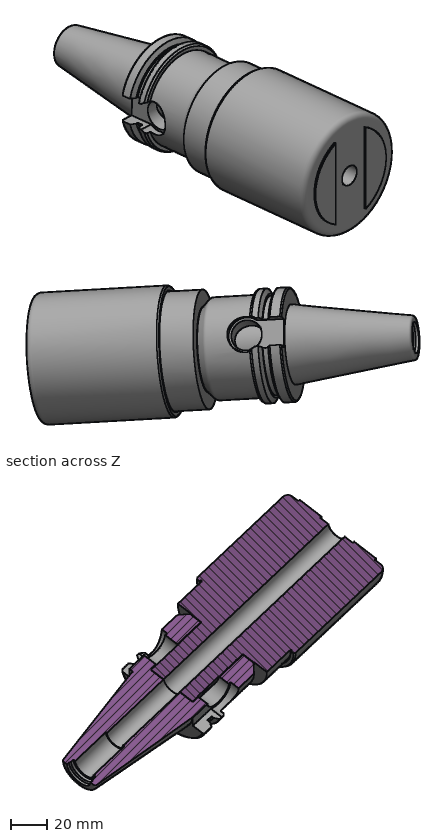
import cadquery as cq
import math


TAPER_RATE = 7 / 24
TAPER_LARGE_DIAMETER = 44.5
TAPER_LENGTH = 68.0
TAPER_END_FILLET = 1.5

FLANGE_RADIUS = 32.0
FLANGE_START = 69.1
FLANGE_END = 87.3
FLANGE_FRONT_CHAMFER = 0.9
FLANGE_BACK_CHAMFER = 1.3
FLANGE_BACK_CHAMFER_DEPTH = 0.9
GROOVE_CENTER = 79.0
GROOVE_FLOOR_WIDTH = 3.2
GROOVE_FLOOR_RADIUS = 27.6
V_DEPTH = 3.0
V_FLANK_ANGLE = 30

BODY_RADIUS = 28.7
BODY_FILLET = 2.8
BODY_FILLET_START = 112.2
CONE_ANGLE = 45
NOSE_RADIUS = 23.8
HOLDER_END = 118.5

SLOT_WIDTH = 16.3
SLOT_FLOOR_FRONT = 22.7
SLOT_FLOOR_BACK = 24.8
OPENING_X = 90.1
OPENING_DIAMETER = 20.3
KEY_HOLE_DIAMETER = 17.3
CUT_CLEARANCE = 2.1

BORE_DIAMETER = 12.0
THREAD_DIAMETER = 13.5
THREAD_END = 30.0
RECESS_DIAMETER = 16.3
RECESS_DEPTH = 4.7
ENTRY_DIAMETER = 17.3
ENTRY_DEPTH = 1.7
ENTRY_CONE_END = 2.8
SPINDLE_DIAMETER = 30.8
SPINDLE_START = 77.0

COLLAR_RADIUS = 66.5 / 2
SLEEVE_RADIUS = 73.5 / 2
SLEEVE_START = 137.5
SLEEVE_CHAMFER_LENGTH = 1.0
SLEEVE_CHAMFER_DEPTH = 0.6
SLEEVE_MOUTH_DIAMETER = 67.6
SLEEVE_MOUTH_DEPTH = 1.0
SLEEVE_END = 213.0
SLEEVE_FILLET = 3.6
DRIVE_RING_DIAMETER = 57.2
DRIVE_SLOT_WIDTH = 24.2
OVERALL_LENGTH = 214.0


def turned(profile):
    """Revolve a closed profile, drawn as (x, radius), about the X axis."""
    return profile.close().revolve(360, (0, 0, 0), (1, 0, 0))


def rod(start, end, diameter):
    """Solid cylinder on the X axis."""
    return cq.Workplane("YZ", origin=(start, 0, 0)).circle(diameter / 2).extrude(end - start)


def arc_point(center, radius, angle):
    """Point on a circle at an angle in degrees from the +X direction."""
    turn = math.radians(angle)
    return (center[0] + radius * math.cos(turn), center[1] + radius * math.sin(turn))


def holder_blank():
    """Outer shape of the shank, flange and body."""
    taper_radius = TAPER_LARGE_DIAMETER / 2
    end_radius = taper_radius - TAPER_LENGTH * TAPER_RATE / 2
    v_radius = FLANGE_RADIUS - V_DEPTH
    v_run = V_DEPTH * math.tan(math.radians(V_FLANK_ANGLE))
    groove_start = GROOVE_CENTER - GROOVE_FLOOR_WIDTH / 2
    groove_end = GROOVE_CENTER + GROOVE_FLOOR_WIDTH / 2
    fillet_center = (BODY_FILLET_START, BODY_RADIUS - BODY_FILLET)
    fillet_end = arc_point(fillet_center, BODY_FILLET, 90 - CONE_ANGLE)
    cone_length = (fillet_end[1] - NOSE_RADIUS) / math.tan(math.radians(CONE_ANGLE))

    profile = (
        cq.Workplane("XY")
        .moveTo(0, 0)
        .lineTo(0, end_radius)
        .lineTo(TAPER_LENGTH, taper_radius)
        .lineTo(FLANGE_START, taper_radius)
        .lineTo(FLANGE_START, FLANGE_RADIUS - FLANGE_FRONT_CHAMFER)
        .lineTo(FLANGE_START + FLANGE_FRONT_CHAMFER, FLANGE_RADIUS)
        .lineTo(groove_start - v_run, FLANGE_RADIUS)
        .lineTo(groove_start, v_radius)
        .lineTo(groove_start, GROOVE_FLOOR_RADIUS)
        .lineTo(groove_end, GROOVE_FLOOR_RADIUS)
        .lineTo(groove_end, v_radius)
        .lineTo(groove_end + v_run, FLANGE_RADIUS)
        .lineTo(FLANGE_END - FLANGE_BACK_CHAMFER, FLANGE_RADIUS)
        .lineTo(FLANGE_END, FLANGE_RADIUS - FLANGE_BACK_CHAMFER_DEPTH)
        .lineTo(FLANGE_END, BODY_RADIUS)
        .lineTo(BODY_FILLET_START, BODY_RADIUS)
        .threePointArc(arc_point(fillet_center, BODY_FILLET, 90 - CONE_ANGLE / 2), fillet_end)
        .lineTo(fillet_end[0] + cone_length, NOSE_RADIUS)
        .lineTo(HOLDER_END, NOSE_RADIUS)
        .lineTo(HOLDER_END, 0)
    )
    return turned(profile).faces("<X").edges().fillet(TAPER_END_FILLET)


def drive_slot_cut(side, floor):
    """Drive slot with its round opening and key hole; side is -1 or +1 along Y."""
    outside = side * (FLANGE_RADIUS + CUT_CLEARANCE)
    depth = abs(outside) - floor
    slot_length = OPENING_X - FLANGE_START
    slot = cq.Workplane("XY").box(slot_length, depth, SLOT_WIDTH).translate(
        (FLANGE_START + slot_length / 2, side * (floor + depth / 2), 0)
    )
    wall = cq.Workplane("XZ", origin=(OPENING_X, outside, 0))
    opening = wall.circle(OPENING_DIAMETER / 2).extrude(side * depth)
    key_hole = wall.circle(KEY_HOLE_DIAMETER / 2).extrude(outside)
    return slot.union(opening).union(key_hole)


def shank_bore_cut():
    """Stepped bore from the small end of the taper to the spindle."""
    entry = ENTRY_DIAMETER / 2
    recess = RECESS_DIAMETER / 2
    thread = THREAD_DIAMETER / 2
    bore = BORE_DIAMETER / 2
    profile = (
        cq.Workplane("XY")
        .moveTo(0, 0)
        .lineTo(0, entry)
        .lineTo(ENTRY_DEPTH, entry)
        .lineTo(ENTRY_CONE_END, recess)
        .lineTo(RECESS_DEPTH, recess)
        .lineTo(RECESS_DEPTH, thread)
        .lineTo(THREAD_END, thread)
        .lineTo(THREAD_END, bore)
        .lineTo(SPINDLE_START, bore)
        .lineTo(SPINDLE_START, 0)
    )
    return turned(profile)


def make_holder():
    holder = holder_blank()
    holder = holder.cut(drive_slot_cut(-1, SLOT_FLOOR_FRONT))
    holder = holder.cut(drive_slot_cut(1, SLOT_FLOOR_BACK))
    holder = holder.cut(shank_bore_cut())
    return holder.cut(rod(SPINDLE_START, HOLDER_END, SPINDLE_DIAMETER))


def drive_ring():
    """Low ring on the front face, parted by the drive slot along Z."""
    ring = rod(SLEEVE_END, OVERALL_LENGTH, DRIVE_RING_DIAMETER)
    height = OVERALL_LENGTH - SLEEVE_END
    slot = cq.Workplane("XY").box(height, DRIVE_SLOT_WIDTH, DRIVE_RING_DIAMETER).translate(
        (SLEEVE_END + height / 2, 0, 0)
    )
    return ring.cut(slot)


def make_chuck_head():
    spindle_radius = SPINDLE_DIAMETER / 2
    profile = (
        cq.Workplane("XY")
        .moveTo(SPINDLE_START, 0)
        .lineTo(SPINDLE_START, spindle_radius)
        .lineTo(HOLDER_END, spindle_radius)
        .lineTo(HOLDER_END, COLLAR_RADIUS)
        .lineTo(SLEEVE_START + SLEEVE_MOUTH_DEPTH, COLLAR_RADIUS)
        .lineTo(SLEEVE_START + SLEEVE_MOUTH_DEPTH, SLEEVE_MOUTH_DIAMETER / 2)
        .lineTo(SLEEVE_START, SLEEVE_MOUTH_DIAMETER / 2)
        .lineTo(SLEEVE_START, SLEEVE_RADIUS - SLEEVE_CHAMFER_DEPTH)
        .lineTo(SLEEVE_START + SLEEVE_CHAMFER_LENGTH, SLEEVE_RADIUS)
        .lineTo(SLEEVE_END, SLEEVE_RADIUS)
        .lineTo(SLEEVE_END, 0)
    )
    head = turned(profile).faces(">X").edges().fillet(SLEEVE_FILLET)
    head = head.union(drive_ring())
    return head.cut(rod(SPINDLE_START, OVERALL_LENGTH, BORE_DIAMETER))


holder = make_holder()
chuck_head = make_chuck_head()

result = cq.Compound.makeCompound([holder.val(), chuck_head.val()])